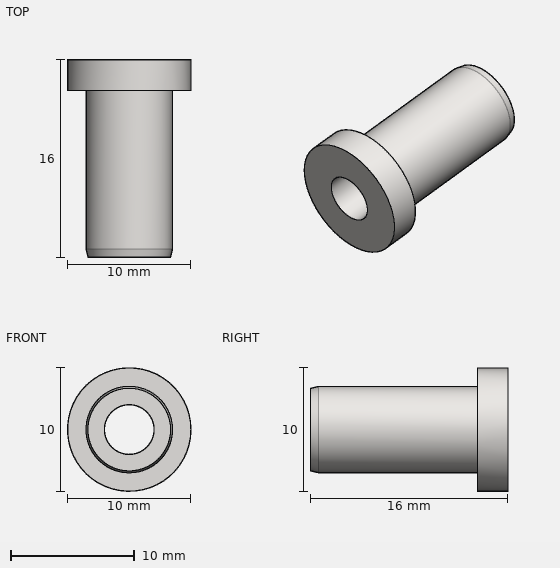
import cadquery as cq

total_length = 16.0
flange_diameter = 10.0
flange_thickness = 2.5
shank_diameter = 7.0
bore_diameter = 4.0
taper_length = 0.67
taper_depth = 0.16

flange_radius = flange_diameter / 2
shank_radius = shank_diameter / 2
bore_radius = bore_diameter / 2
tip_radius = shank_radius - taper_depth
flange_face_y = total_length - flange_thickness

half_section = [
    (bore_radius, 0),
    (tip_radius, 0),
    (shank_radius, taper_length),
    (shank_radius, flange_face_y),
    (flange_radius, flange_face_y),
    (flange_radius, total_length),
    (bore_radius, total_length),
]

result = (
    cq.Workplane("XY")
    .polyline(half_section)
    .close()
    .revolve(360, (0, 0, 0), (0, 1, 0))
)